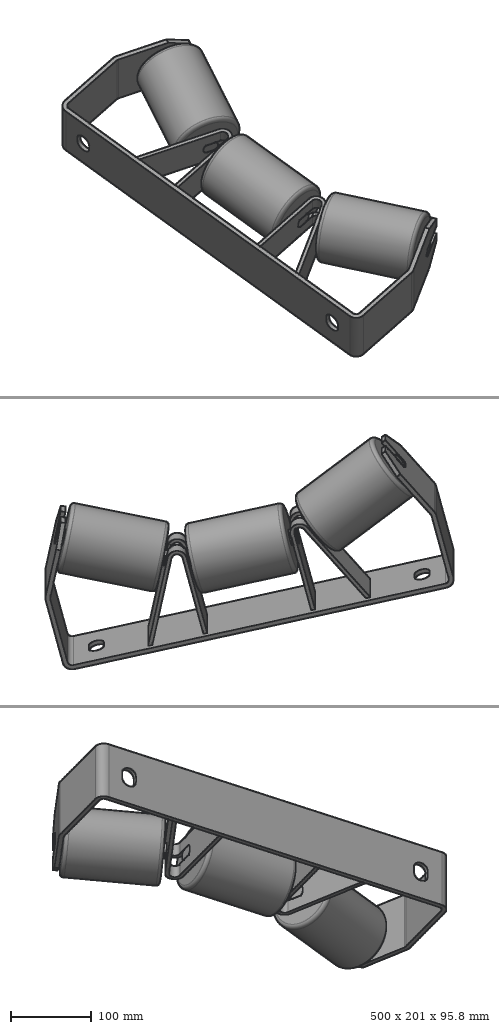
import cadquery as cq
import math

frame_length = 500.0
frame_thickness = 6.0
frame_height = 80.0
bend_radius = 12.0
trough_angle = 25.0
elbow_y = 104.0
arm_length = 100.0
arm_bevel_length = 30.0
arm_bevel_height = 17.0
mount_slot_x = 208.5
mount_slot_width = 19.5
mount_slot_height = 27.0

bracket_gap = 133.0
bracket_thickness = 5.0
bracket_height = 50.0

roller_radius = 44.5
roller_length = 125.0
roller_edge_radius = 5.0
shaft_radius = 10.0
shaft_flat_width = 15.0
shoulder_clearance = 1.0
middle_roller_y = 98.5
side_roller_offset = 69.0
inner_shaft_z = -7.5
arm_shaft_z = 0.0

half_thickness = frame_thickness / 2
half_bracket_thickness = bracket_thickness / 2
half_height = frame_height / 2
lean = math.radians(trough_angle)
arm_up = cq.Vector(math.sin(lean), math.cos(lean), 0)
arm_inward = cq.Vector(math.cos(lean), -math.sin(lean), 0)

elbow = cq.Vector(-frame_length / 2, elbow_y, 0)
arm_end = elbow + arm_up * arm_length
elbow_middle = elbow + cq.Vector(half_thickness, -half_thickness * math.tan(lean / 2), 0)

shaft_length = bracket_gap + 2 * bracket_thickness
shoulder_length = bracket_gap - 2 * shoulder_clearance

side_tilt = math.asin((arm_shaft_z - inner_shaft_z) / (bracket_gap + frame_thickness))
side_roller_centre = (
    elbow
    + arm_inward * (frame_thickness + bracket_gap / 2)
    + arm_up * side_roller_offset
    + cq.Vector(0, 0, (arm_shaft_z + inner_shaft_z) / 2)
)
side_axis = arm_inward * math.cos(side_tilt) - cq.Vector(0, 0, math.sin(side_tilt))

middle_plane = cq.Plane((0, middle_roller_y, inner_shaft_z), (1, 0, 0), (0, 0, 1))
left_plane = cq.Plane(side_roller_centre, side_axis, side_axis.cross(arm_up))


def mirrored(body):
    return body.mirror("YZ").solids()


def folded_strip(corners, width, thickness):
    """Sheet strip whose middle surface follows the corners, with a bend at each inner one."""
    centre_bend_radius = bend_radius - thickness / 2
    path = cq.Workplane("XY").moveTo(corners[0].x, corners[0].y)
    for before, corner, after in zip(corners, corners[1:], corners[2:]):
        arriving = (corner - before).normalized()
        leaving = (after - corner).normalized()
        setback = centre_bend_radius * math.tan(arriving.getAngle(leaving) / 2)
        bend_start = corner - arriving * setback
        bend_end = corner + leaving * setback
        path = path.lineTo(bend_start.x, bend_start.y)
        path = path.tangentArcPoint((bend_end.x, bend_end.y), relative=False)
    path = path.lineTo(corners[-1].x, corners[-1].y)
    start_plane = cq.Plane(corners[0], (0, 0, 1), corners[1] - corners[0])
    return cq.Workplane(start_plane).rect(width, thickness).sweep(path)


def bar(radius, length):
    """Round bar centred on the origin, along X."""
    return cq.Workplane("XY").cylinder(length, radius, direct=cq.Vector(1, 0, 0))


def flat_sided_bar(length):
    """Bar with the section of a shaft end: two flats, square to Z."""
    flats = cq.Workplane("XY").box(length, 2 * shaft_radius, shaft_flat_width)
    return bar(shaft_radius, length).intersect(flats)


def placed(body, plane):
    return cq.Workplane(body.val().moved(cq.Location(plane))).solids()


def shaft_slot(plane, end, depth):
    """Open slot for one shaft end (-1 or 1), cut from inside the held gap to depth beyond it."""
    run_out = arm_length
    length = depth + half_thickness
    middle_x = end * (bracket_gap - half_thickness + depth) / 2
    channel = cq.Workplane("XY").box(length, run_out, shaft_flat_width, centered=(True, False, True))
    slot = channel.union(flat_sided_bar(length))
    return placed(slot.translate((middle_x, 0, 0)), plane)


def make_frame():
    wall_x = frame_length / 2 - half_thickness
    arm_tip = elbow_middle + arm_up * (arm_length - half_thickness * math.tan(lean / 2))
    left_corners = [
        arm_tip,
        elbow_middle,
        cq.Vector(-wall_x, half_thickness, 0),
    ]
    right_corners = [cq.Vector(-p.x, p.y, 0) for p in reversed(left_corners)]
    frame = folded_strip(left_corners + right_corners, frame_height, frame_thickness)

    bevel = (
        cq.Workplane(cq.Plane(arm_end, arm_up, arm_inward))
        .polyline([
            (0, half_height - arm_bevel_height),
            (0, half_height),
            (-arm_bevel_length, half_height),
        ])
        .close()
        .extrude(2 * frame_thickness, both=True)
    )
    arm_cut = bevel.union(bevel.mirror("XY")).union(shaft_slot(left_plane, -1, 2 * frame_thickness))
    mount_slots = (
        cq.Workplane("XZ")
        .pushPoints([(-mount_slot_x, 0), (mount_slot_x, 0)])
        .slot2D(mount_slot_height, mount_slot_width, 90)
        .extrude(-frame_thickness)
    )
    return frame.cut(arm_cut).cut(mirrored(arm_cut)).cut(mount_slots).solids()


def make_left_bracket():
    leg_x = -bracket_gap / 2 - half_bracket_thickness
    leaning_distance = arm_inward.dot(elbow) + frame_thickness + bracket_gap + half_bracket_thickness
    crown_y = (arm_inward.x * leg_x - leaning_distance) / -arm_inward.y
    crown = cq.Vector(leg_x, crown_y, 0)
    leaning_foot = crown - arm_up * (crown.y / math.cos(lean))
    upright_foot = cq.Vector(leg_x, 0, 0)
    strip = folded_strip([leaning_foot, crown, upright_foot], bracket_height, bracket_thickness)
    strip = strip.translate((0, 0, inner_shaft_z))
    base_space = cq.Workplane("XY").box(frame_length, 2 * frame_thickness, frame_height)

    slot_depth = 2 * bend_radius - bracket_thickness
    return (
        strip.cut(base_space)
        .cut(shaft_slot(left_plane, 1, slot_depth))
        .cut(shaft_slot(middle_plane, -1, slot_depth))
        .solids()
    )


def make_roller(plane):
    drum = bar(roller_radius, roller_length).edges("%CIRCLE").fillet(roller_edge_radius)
    shoulder = bar(shaft_radius, shoulder_length)
    return placed(drum.union(shoulder).union(flat_sided_bar(shaft_length)), plane)


frame = make_frame()
left_bracket = make_left_bracket()
brackets = [left_bracket, mirrored(left_bracket)]
left_roller = make_roller(left_plane)
rollers = [left_roller, make_roller(middle_plane), mirrored(left_roller)]

result = cq.Compound.makeCompound([
    frame.val(),
    *[bracket.val() for bracket in brackets],
    *[roller.val() for roller in rollers],
])